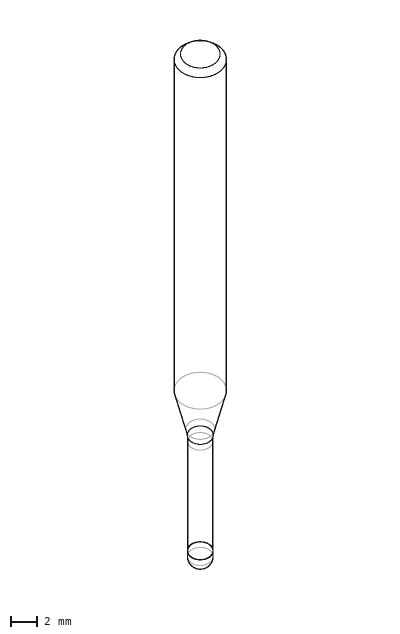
import cadquery as cq
import math

total_length = 55.0
shank_radius = 4.0 / 2
neck_radius = 1.9 / 2
ball_radius = 1.0

head_height = 1.6
joint_height = 14.0
cone_top_height = 18.8

blend_length = 0.65
chamfer_height = 0.55
chamfer_width = 0.5

cone_angle = math.atan2(shank_radius - neck_radius, cone_top_height - joint_height)
blend_radius = blend_length / math.tan(cone_angle / 2)
blend_start_height = joint_height - blend_length
joint_angle = math.asin(blend_length / blend_radius)


def blend_point(angle):
    """Point (radius, height) on the blend arc where its tangent leans by angle."""
    return (
        neck_radius + blend_radius * (1 - math.cos(angle)),
        blend_start_height + blend_radius * math.sin(angle),
    )


def revolve_about_axis(profile):
    """Close an XZ profile and revolve it a full turn about the tool axis."""
    return profile.close().revolve(360, (0, 0, 0), (0, 1, 0))


def make_cutter():
    """Ball-nosed head, slim neck and the lower part of the blend."""
    ball_middle = (
        ball_radius * math.sin(math.pi / 4),
        ball_radius * (1 - math.cos(math.pi / 4)),
    )
    return revolve_about_axis(
        cq.Workplane("XZ")
        .moveTo(0, 0)
        .threePointArc(ball_middle, (ball_radius, ball_radius))
        .lineTo(ball_radius, head_height)
        .lineTo(neck_radius, head_height)
        .lineTo(neck_radius, blend_start_height)
        .threePointArc(blend_point(joint_angle / 2), blend_point(joint_angle))
        .lineTo(0, joint_height)
    )


def make_shank():
    """Upper part of the blend, cone and cylindrical shank with a chamfered top."""
    return revolve_about_axis(
        cq.Workplane("XZ")
        .moveTo(0, joint_height)
        .lineTo(*blend_point(joint_angle))
        .threePointArc(blend_point((joint_angle + cone_angle) / 2), blend_point(cone_angle))
        .lineTo(shank_radius, cone_top_height)
        .lineTo(shank_radius, total_length - chamfer_height)
        .lineTo(shank_radius - chamfer_width, total_length)
        .lineTo(0, total_length)
    )


cutter = make_cutter()
shank = make_shank()

result = cq.Compound.makeCompound([cutter.val(), shank.val()])